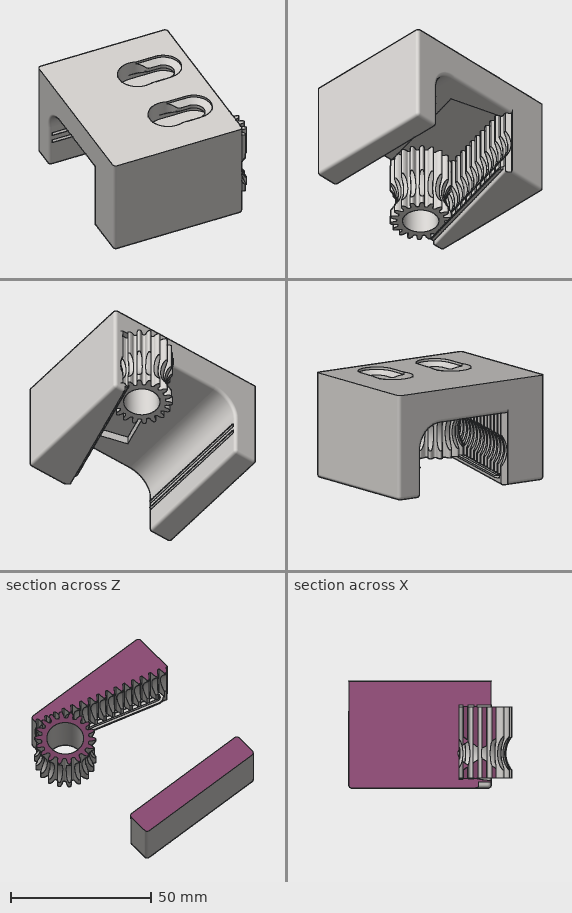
import cadquery as cq
import math

LENGTH = 63.5
DEPTH = 50.85
HEIGHT = 38.2
ROOF_END = 59.7
EDGE_RADIUS = 1.2
CHANNEL_LEFT = 9.5
CHANNEL_CEILING = 26.2
CHANNEL_CORNER_RADIUS = 8.9

GEAR_TEETH = 18
TOOTH_PITCH = 3.4
TOOTH_MODULE = TOOTH_PITCH / math.pi
PRESSURE_ANGLE = 20.0
PITCH_RADIUS = GEAR_TEETH * TOOTH_MODULE / 2
GEAR_TIP_RADIUS = 11.0
GEAR_ROOT_RADIUS = 8.5
GEAR_BORE_RADIUS = 6.5
GEAR_HEIGHT = 25.4
GEAR_BOTTOM = 3.6
GEAR_X = 48.8
GEAR_Y = 47.2
GEAR_TURN = 87.5
GEAR_TOOTH_WIDTH = 1.7
FLANK_START_RADIUS = 9.0
FLANK_END_RADIUS = GEAR_TIP_RADIUS - 0.25

RACK_SLANT = 15.0
RACK_MOUTH_X = 47.75
RACK_MOUTH_Y = 0.6
RACK_TIP_X = 46.0
RACK_DEPTH = 2.5
RACK_FLANK_RUN = RACK_DEPTH * math.tan(math.radians(PRESSURE_ANGLE))
RACK_LAND = 0.95
RACK_TEETH = 16
RACK_BOTTOM = 3.2
LAND_EDGE_RADIUS = 0.65

POCKET_START = 2.55
POCKET_WIDTH = 20.95
POCKET_TOP = 29.65

LIP_START = 1.3
LIP_WIDTH = 1.3
LIP_ROOT = 2.55
LIP_CORNER_RADIUS = 2.35
LIP_EDGE_HEIGHT = 0.65
LIP_SLOPE = 15.0

GROOVE_Z = 12.45
GROOVE_RADIUS = 9.5
GEAR_GROOVE_DEPTH = 2.1
RACK_GROOVE_DEPTH = 1.9

RIDGE_SPACING = 3.25
RIDGE_HEIGHT = 0.65

KEYHOLE_XS = (19.05, 44.45)
KEYHOLE_Y = 30.35
KEYHOLE_TRAVEL = 10.15
HEAD_RADIUS = 7.1
NECK_RADIUS = 4.0
RIM_RADIUS = 6.6
NECK_BLEND_RADIUS = 2.2
RIM_DEPTH = 0.9
KEYHOLE_DEPTH = 7.35
NECK_BOTTOM_DEPTH = 3.75
KEYHOLE_SLOPE = 30.0

SLANT = math.radians(RACK_SLANT)
MOUTH_ANGLE = math.radians(RACK_SLANT + PRESSURE_ANGLE)
RACK_TIP_Y = RACK_MOUTH_Y + (RACK_MOUTH_X - RACK_TIP_X) * math.tan(MOUTH_ANGLE)
RACK_END = DEPTH / math.cos(SLANT) + 2 * TOOTH_PITCH


def on_rack(shape):
    """Move a shape from the rack frame to its place."""
    turned = shape.rotate((0, 0, 0), (0, 0, 1), -RACK_SLANT)
    return turned.translate((RACK_TIP_X, RACK_TIP_Y, 0))


def box_between(low, high):
    size = [b - a for a, b in zip(low, high)]
    return cq.Workplane("XY").box(*size, centered=False).translate(low)


def arch():
    """Plain leg and roof; the roof ends inside the rack leg."""
    body = (
        cq.Workplane("XZ")
        .lineTo(CHANNEL_LEFT, 0)
        .lineTo(CHANNEL_LEFT, CHANNEL_CEILING - CHANNEL_CORNER_RADIUS)
        .radiusArc((CHANNEL_LEFT + CHANNEL_CORNER_RADIUS, CHANNEL_CEILING), CHANNEL_CORNER_RADIUS)
        .lineTo(ROOF_END, CHANNEL_CEILING)
        .lineTo(ROOF_END, HEIGHT)
        .lineTo(0, HEIGHT)
        .close()
        .extrude(-DEPTH)
    )
    rounded = body.faces("<Y or >Y or <Z").edges("not(>Z or >X)")
    return rounded.fillet(EDGE_RADIUS)


def rack_leg():
    """Leg with a slanted inner face, still without its rack."""
    block = box_between((RACK_TIP_X - EDGE_RADIUS, 0, 0), (LENGTH, DEPTH, HEIGHT))
    block = block.faces("<Y or >Y or >X or <Z").edges("not(>Z or <X)").fillet(EDGE_RADIUS)
    plan = (
        cq.Workplane("XY")
        .moveTo(RACK_MOUTH_X, 0)
        .lineTo(LENGTH, 0)
        .lineTo(LENGTH, DEPTH)
        .lineTo(RACK_TIP_X + (DEPTH - RACK_TIP_Y) * math.tan(SLANT), DEPTH)
        .lineTo(RACK_TIP_X, RACK_TIP_Y)
        .lineTo(RACK_MOUTH_X, RACK_MOUTH_Y)
        .close()
        .extrude(HEIGHT)
    )
    land_middle = (RACK_TIP_X + DEPTH / 2 * math.tan(SLANT), RACK_TIP_Y + DEPTH / 2, 0)
    plan = plan.edges(cq.NearestToPointSelector(land_middle)).fillet(LAND_EDGE_RADIUS)
    return block.intersect(plan)


def gullets():
    """Spaces between the rack teeth."""
    gap = cq.Workplane("XY").workplane(offset=RACK_BOTTOM)
    cutter = cq.Workplane("XY")
    for tooth in range(RACK_TEETH):
        start = tooth * TOOTH_PITCH + RACK_LAND
        end = (tooth + 1) * TOOTH_PITCH
        gullet = (
            gap.moveTo(0, start)
            .lineTo(RACK_DEPTH, start + RACK_FLANK_RUN)
            .lineTo(RACK_DEPTH, end - RACK_FLANK_RUN)
            .lineTo(0, end)
            .close()
            .extrude(POCKET_TOP - RACK_BOTTOM)
        )
        cutter = cutter.add(gullet)
    return on_rack(cutter.combine())


def gear_pocket():
    low = (-POCKET_WIDTH, POCKET_START, CHANNEL_CEILING - EDGE_RADIUS)
    return on_rack(box_between(low, (0, RACK_END, POCKET_TOP)))


def rack_groove():
    center_x = RACK_GROOVE_DEPTH - GROOVE_RADIUS
    groove = cq.Workplane("XZ").center(center_x, GROOVE_Z).circle(GROOVE_RADIUS)
    return on_rack(groove.extrude(-(RACK_END + TOOTH_PITCH)).translate((0, -TOOTH_PITCH, 0)))


def lip():
    """Ledge below the gear, with a sloped top, a rounded front end and a 45 degree underside."""
    edge_top = RACK_BOTTOM - LIP_WIDTH * math.tan(math.radians(LIP_SLOPE))
    edge_bottom = edge_top - LIP_EDGE_HEIGHT
    low = (-LIP_WIDTH, LIP_START, edge_bottom)
    band = box_between(low, (LIP_ROOT, RACK_END, RACK_BOTTOM))
    band = band.edges("|Z and <X and <Y").fillet(LIP_CORNER_RADIUS)
    underside = band.faces("<Z").wires().toPending().extrude(LIP_WIDTH, combine=False, taper=45)
    slope = (
        cq.Workplane("XZ")
        .moveTo(0, RACK_BOTTOM)
        .lineTo(-LIP_WIDTH, edge_top)
        .lineTo(-LIP_WIDTH, RACK_BOTTOM)
        .close()
        .extrude(-RACK_END)
    )
    inside = box_between((0, 0, 0), (LENGTH, DEPTH, HEIGHT))
    return on_rack(band.cut(slope).union(underside)).intersect(inside)


def ridges():
    """Two grip ridges, level with the handle groove."""
    ridge = (
        cq.Workplane("XZ")
        .moveTo(CHANNEL_LEFT, -RIDGE_HEIGHT)
        .lineTo(CHANNEL_LEFT + RIDGE_HEIGHT, 0)
        .lineTo(CHANNEL_LEFT, RIDGE_HEIGHT)
        .lineTo(CHANNEL_LEFT - RIDGE_HEIGHT, 0)
        .close()
        .extrude(-(DEPTH - 2 * EDGE_RADIUS))
        .translate((0, EDGE_RADIUS, 0))
    )
    lower = ridge.translate((0, 0, GROOVE_Z - RIDGE_SPACING / 2))
    return lower.union(ridge.translate((0, 0, GROOVE_Z + RIDGE_SPACING / 2)))


def travel_slot(radius, depth):
    """Sketch of the slot that a disc of this radius sweeps along the keyhole."""
    level = cq.Workplane("XY").workplane(offset=HEIGHT - depth)
    return level.center(0, KEYHOLE_TRAVEL / 2).slot2D(KEYHOLE_TRAVEL + 2 * radius, 2 * radius, 90)


def keyhole():
    """Cutter with its entry circle centred on the Z axis."""
    spread = 90 - KEYHOLE_SLOPE
    slope = math.tan(math.radians(KEYHOLE_SLOPE))
    entry = cq.Workplane("XY").workplane(offset=HEIGHT).circle(HEAD_RADIUS).extrude(-KEYHOLE_DEPTH)
    neck = travel_slot(NECK_RADIUS, 0).extrude(-NECK_BOTTOM_DEPTH)
    waist = cq.selectors.BoxSelector((-HEAD_RADIUS, 0.65, 0), (HEAD_RADIUS, KEYHOLE_TRAVEL - 0.65, HEIGHT))
    opening = entry.union(neck).edges("|Z").edges(waist).fillet(NECK_BLEND_RADIUS)
    rim = travel_slot(RIM_RADIUS, 0).extrude(-RIM_DEPTH)
    funnel_height = (RIM_RADIUS - NECK_RADIUS) * slope
    funnel = travel_slot(RIM_RADIUS, RIM_DEPTH).extrude(-funnel_height, taper=spread)
    vault_height = (HEAD_RADIUS - NECK_RADIUS) * slope
    vault_depth = NECK_BOTTOM_DEPTH + vault_height
    head_room = travel_slot(HEAD_RADIUS, KEYHOLE_DEPTH).extrude(KEYHOLE_DEPTH - vault_depth)
    vault = travel_slot(HEAD_RADIUS, vault_depth).extrude(vault_height, taper=spread)
    return opening.union(rim).union(funnel).union(head_room).union(vault)


def polar(radius, angle):
    return (radius * math.cos(angle), radius * math.sin(angle))


def flank_half_angle(radius):
    """Angle from a tooth's middle to its involute flank."""
    base = PITCH_RADIUS * math.cos(math.radians(PRESSURE_ANGLE))

    def involute(at_radius):
        pressure = math.acos(min(1.0, base / at_radius))
        return math.tan(pressure) - pressure

    return GEAR_TOOTH_WIDTH / (2 * PITCH_RADIUS) + involute(PITCH_RADIUS) - involute(radius)


def gear_outline():
    root_angle = flank_half_angle(FLANK_START_RADIUS)
    pitch_angle = flank_half_angle(PITCH_RADIUS)
    end_angle = flank_half_angle(FLANK_END_RADIUS)
    step = 2 * math.pi / GEAR_TEETH
    outline = cq.Workplane("XY").workplane(offset=GEAR_BOTTOM)
    outline = outline.moveTo(*polar(FLANK_START_RADIUS, -root_angle))
    for tooth in range(GEAR_TEETH):
        middle = tooth * step
        outline = (
            outline.threePointArc(
                polar(PITCH_RADIUS, middle - pitch_angle), polar(FLANK_END_RADIUS, middle - end_angle)
            )
            .threePointArc(
                polar(GEAR_TIP_RADIUS, middle), polar(FLANK_END_RADIUS, middle + end_angle)
            )
            .threePointArc(
                polar(PITCH_RADIUS, middle + pitch_angle), polar(FLANK_START_RADIUS, middle + root_angle)
            )
            .threePointArc(
                polar(GEAR_ROOT_RADIUS, middle + step / 2),
                polar(FLANK_START_RADIUS, middle + step - root_angle),
            )
        )
    return outline.close()


def gear_groove():
    center_x = GEAR_TIP_RADIUS - GEAR_GROOVE_DEPTH + GROOVE_RADIUS
    section = cq.Workplane("XZ").center(center_x, GROOVE_Z).circle(GROOVE_RADIUS)
    return section.revolve(360, (-center_x, 0, 0), (-center_x, 1, 0))


def build_gear():
    body = gear_outline().extrude(GEAR_HEIGHT).cut(gear_groove())
    bore = cq.Workplane("XY").workplane(offset=GEAR_BOTTOM).circle(GEAR_BORE_RADIUS).extrude(GEAR_HEIGHT)
    return body.cut(bore).rotate((0, 0, 0), (0, 0, 1), GEAR_TURN).translate((GEAR_X, GEAR_Y, 0))


def build_housing(gear):
    """Housing, with its rack relieved where the gear teeth reach into it."""
    body = arch().union(rack_leg())
    body = body.cut(gear_pocket()).cut(gullets()).cut(rack_groove())
    body = body.union(lip()).union(ridges())
    for x in KEYHOLE_XS:
        body = body.cut(keyhole().translate((x, KEYHOLE_Y, 0)))
    return body.cut(gear)


gear = build_gear()
housing = build_housing(gear)
result = cq.Compound.makeCompound([*housing.vals(), *gear.vals()])